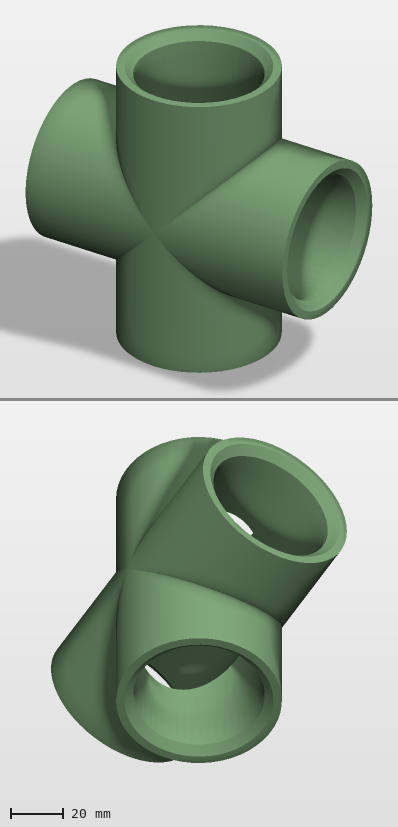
import cadquery as cq

overall_length = 116.0
outer_diameter = 63.0
bore_diameter = 50.0
mouth_chamfer = 3.2

half_length = overall_length / 2
bore_radius = bore_diameter / 2
mouth_radius = bore_radius + mouth_chamfer


def pipe_body(plane):
    """Solid cylinder centred on the origin along the plane normal."""
    return cq.Workplane(plane).circle(outer_diameter / 2).extrude(half_length, both=True)


def bevelled_bore(plane):
    """Through bore with a conical mouth at both ends, revolved about the pipe axis."""
    bevel_start = half_length - mouth_chamfer
    return (
        cq.Workplane(plane)
        .moveTo(0, -half_length)
        .lineTo(mouth_radius, -half_length)
        .lineTo(bore_radius, -bevel_start)
        .lineTo(bore_radius, bevel_start)
        .lineTo(mouth_radius, half_length)
        .lineTo(0, half_length)
        .close()
        .revolve(360, (0, 0, 0), (0, 1, 0))
    )


body = pipe_body("XY").union(pipe_body("YZ"))

result = body.cut(bevelled_bore("XZ")).cut(bevelled_bore("ZX"))